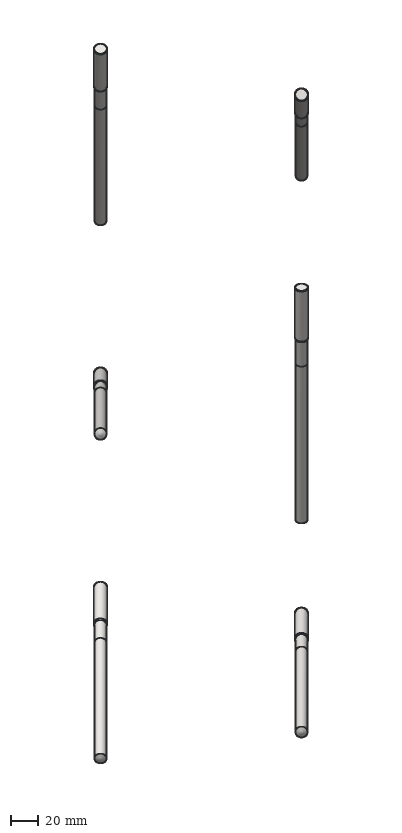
import cadquery as cq
import math

total_length = 210.0
point_angle = 140.0

shank_diameter = 10.0
shank_length = 45.0
end_chamfer = 0.5
neck_diameter = 8.9
step_height = 1.3
holder_length = 68.0

cutting_diameter = 8.86

shank_radius = shank_diameter / 2
neck_radius = neck_diameter / 2
cutting_radius = cutting_diameter / 2

point_height = cutting_radius / math.tan(math.radians(point_angle / 2))
holder_bottom = total_length - holder_length
shank_bottom = total_length - shank_length
neck_top = shank_bottom - step_height


def revolve_about_z(profile):
    """Revolve a closed (radius, height) outline a full turn about the Z axis."""
    return cq.Workplane("XZ").polyline(profile).close().revolve(360, (0, 0, 0), (0, 1, 0))


def make_holder():
    """Shank, conical step and neck turned as one body."""
    return revolve_about_z([
        (0, holder_bottom),
        (neck_radius, holder_bottom),
        (neck_radius, neck_top),
        (shank_radius, shank_bottom),
        (shank_radius, total_length - end_chamfer),
        (shank_radius - end_chamfer, total_length),
        (0, total_length),
    ])


def make_cutter():
    """Cylindrical cutting section ending in a conical point."""
    return revolve_about_z([
        (0, 0),
        (cutting_radius, point_height),
        (cutting_radius, holder_bottom),
        (0, holder_bottom),
    ])


holder = make_holder()
cutter = make_cutter()

result = cq.Compound.makeCompound([holder.val(), cutter.val()])